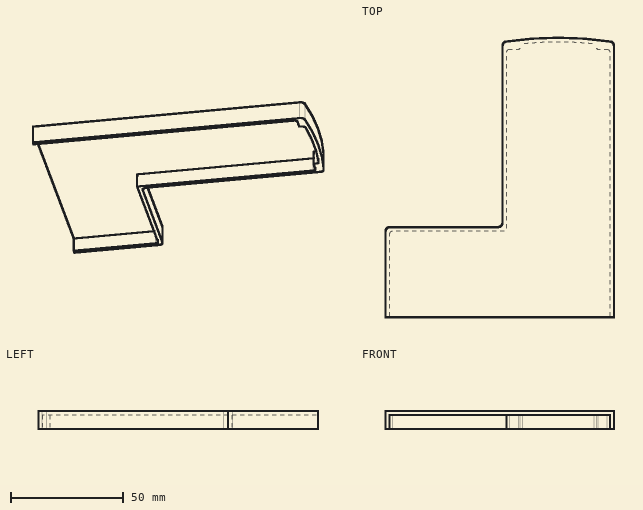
import cadquery as cq
import math

width = 101.3
length = 124.0
height = 8.0
arm_width = 49.5
leg_depth = 40.0
wall = 1.9
deck = 1.9

crown_radius = 155.0
outer_fillet = 2.0

corner_fillet = 1.2
recess_foot_half_width = 17.1
recess_end_half_width = 16.7
recess_depth = 2.5
ledge_fillet = 0.6
overcut = 1.2

arm_left = width - arm_width
arm_center = width - arm_width / 2
crown_center_y = length - crown_radius
inner_crown_radius = crown_radius - wall


def crown_y(radius, offset):
    """Y of a crown arc at a sideways offset from the arm's centre line."""
    return crown_center_y + math.sqrt(radius**2 - offset**2)


def fillet_at(body, points, radius):
    """Round the vertical edges that pass through the given XY points."""
    for x, y in points:
        edge = cq.selectors.NearestToPointSelector((x, y, height / 2))
        body = body.edges("|Z").edges(edge).fillet(radius)
    return body


def make_body():
    corner_y = crown_y(crown_radius, arm_width / 2)
    body = (
        cq.Workplane("XY")
        .moveTo(0, 0)
        .lineTo(width, 0)
        .lineTo(width, corner_y)
        .threePointArc((arm_center, length), (arm_left, corner_y))
        .lineTo(arm_left, leg_depth)
        .lineTo(0, leg_depth)
        .close()
        .extrude(height)
    )
    rounded = [(0, leg_depth), (arm_left, leg_depth), (arm_left, corner_y), (width, corner_y)]
    return fillet_at(body, rounded, outer_fillet)


def make_cavity():
    left = wall
    right = width - wall
    arm_inner_left = arm_left + wall
    leg_inner_y = leg_depth - wall
    recess_y = crown_y(inner_crown_radius, recess_end_half_width)
    ledge_y = recess_y - recess_depth
    ledge_points = [(arm_center + side * recess_foot_half_width, ledge_y) for side in (1, -1)]
    recess_points = [(arm_center + side * recess_end_half_width, recess_y) for side in (1, -1)]
    cavity = (
        cq.Workplane("XY")
        .moveTo(left, -overcut)
        .lineTo(right, -overcut)
        .lineTo(right, ledge_y)
        .lineTo(*ledge_points[0])
        .lineTo(*recess_points[0])
        .threePointArc((arm_center, length - wall), recess_points[1])
        .lineTo(*ledge_points[1])
        .lineTo(arm_inner_left, ledge_y)
        .lineTo(arm_inner_left, leg_inner_y)
        .lineTo(left, leg_inner_y)
        .close()
        .extrude(height - deck)
    )
    corners = [(left, leg_inner_y), (arm_inner_left, ledge_y), (right, ledge_y)]
    cavity = fillet_at(cavity, corners + recess_points, corner_fillet)
    return fillet_at(cavity, ledge_points, ledge_fillet)


result = make_body().cut(make_cavity())